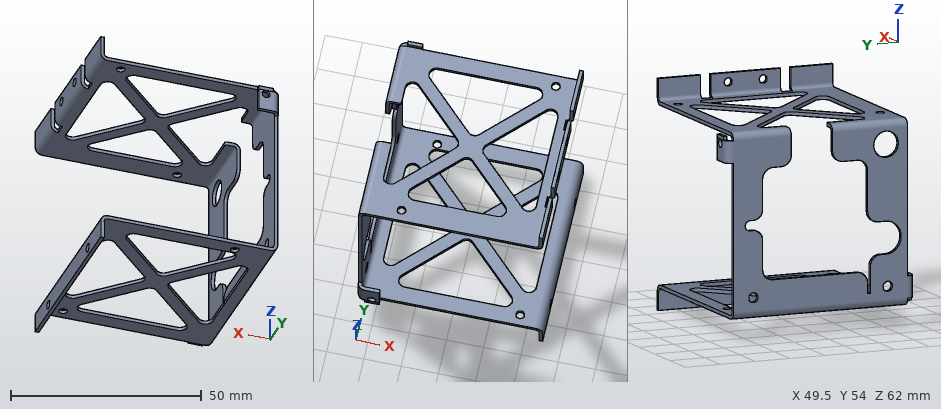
import cadquery as cq
import math

overall_depth = 49.5
overall_height = 62.0
overall_width = 54.0
sheet_width = 50.0
plate_spacing = 50.0
sheet = 1.0

half_width = sheet_width / 2
outer_bend = (overall_width - sheet_width) / 2
inner_bend = outer_bend - sheet
plate_z = plate_spacing / 2
flat_z = plate_z - outer_bend
flange_z = overall_height / 2
tab_y = overall_width / 2

window_near_x = 4.2
window_far_x = 45.2
window_half_width = 20.5
shortened_window_half_width = 18.4
strut_width = 3.55
window_corner = 2.0
cross_x = (window_near_x + window_far_x) / 2
apex_offset = strut_width / math.sqrt(2)

plate_hole_diameter = 2.25
plate_hole_near_x = 10.9
plate_hole_far_x = 42.8
plate_hole_y = 21.95

opening_left_y = 16.6
opening_right_y = -13.5
opening_half_height = 15.0
opening_corner = 3.0
notch_left_y = 8.4
notch_right_y = -3.5
notch_plate_corner = 0.6
finger_end_y = 21.6
finger_z = -0.05
finger_radius = 1.35
finger_corner = 2.65
lobe_end_y = -23.1
lobe_z = -6.3
lobe_radius = 4.4
lobe_corner = 3.0
slit_width = 0.75
slit_end_z = -20.85

wall_hole_diameter = 2.65
wall_hole_y = 19.3
wall_hole_z = -19.35
large_hole_diameter = 7.0
large_hole_y = -18.8
large_hole_z = 18.65

flange_hole_diameter = 2.25
flange_hole_z = 28.5
upper_hole_y = 5.0
lower_hole_y = 15.0
flange_slot_inner_y = 10.0
flange_slot_width = 3.0

tab_end_x = 6.0
tab_end_z = 17.0
tab_hole_diameter = 2.2
tab_hole_x = (outer_bend + tab_end_x) / 2
tab_hole_z = 21.8


def rounded_outline(plane, corners):
    """Closed outline on a plane; each corner is (u, v, radius), and radius 0 leaves it sharp."""
    path = cq.Workplane(plane)
    last = None
    for i, (u, v, radius) in enumerate(corners):
        corner = cq.Vector(u, v)
        to_previous = (cq.Vector(*corners[i - 1][:2]) - corner).normalized()
        to_next = (cq.Vector(*corners[(i + 1) % len(corners)][:2]) - corner).normalized()
        half_angle = to_previous.getAngle(to_next) / 2
        setback = radius / math.tan(half_angle)
        bisector = (to_previous + to_next).normalized()
        start = corner + to_previous * setback
        middle = corner + bisector * (radius / math.sin(half_angle) - radius)
        end = corner + to_next * setback
        if last is None:
            path = path.moveTo(start.x, start.y)
        elif (start - last).Length > 6.2e-07:
            path = path.lineTo(start.x, start.y)
        if radius > 0:
            path = path.threePointArc((middle.x, middle.y), (end.x, end.y))
        last = end
    return path.close()


def cylinders_along_x(centres, diameter, start_x, length):
    """Cutters for holes through sheet that faces X, at (y, z) centres."""
    plane = cq.Workplane("YZ", origin=(start_x, 0, 0))
    return plane.pushPoints(centres).circle(diameter / 2).extrude(length)


def turned_about_x(shape):
    """Copy turned half a turn about the X axis, from the -Y -Z corner to the +Y +Z corner."""
    return shape.rotate((0, 0, 0), (1, 0, 0), 180)


def bent_sheet():
    """Wall, two plates and two outward flanges, bent from one sheet."""
    flange_x = overall_depth - sheet
    inner_z = plate_z - sheet
    upper_half = (
        cq.Workplane("XZ", origin=(0, half_width, 0))
        .lineTo(0, flat_z)
        .tangentArcPoint((outer_bend, plate_z), relative=False)
        .lineTo(flange_x - inner_bend, plate_z)
        .tangentArcPoint((flange_x, plate_z + inner_bend), relative=False)
        .lineTo(flange_x, flange_z)
        .lineTo(overall_depth, flange_z)
        .lineTo(overall_depth, plate_z + inner_bend)
        .tangentArcPoint((overall_depth - outer_bend, inner_z), relative=False)
        .lineTo(outer_bend, inner_z)
        .tangentArcPoint((sheet, flat_z), relative=False)
        .lineTo(sheet, 0)
        .close()
        .extrude(sheet_width)
    )
    return upper_half.union(upper_half.mirror("XY"))


def side_tab():
    """Tab bent back from the -Y edge of the wall, at its lower end, with its hole."""
    inner_y = tab_y - sheet
    tab = (
        cq.Workplane("XY", origin=(0, 0, -flat_z))
        .moveTo(tab_end_x, -tab_y)
        .lineTo(outer_bend, -tab_y)
        .tangentArcPoint((0, -half_width), relative=False)
        .lineTo(sheet, -half_width)
        .radiusArc((outer_bend, -inner_y), -inner_bend)
        .lineTo(tab_end_x, -inner_y)
        .close()
        .extrude(flat_z - tab_end_z)
    )
    hole = (
        cq.Workplane("XZ", origin=(0, -inner_y, 0))
        .center(tab_hole_x, -tab_hole_z)
        .circle(tab_hole_diameter / 2)
        .extrude(sheet)
    )
    return tab.cut(hole)


def wall_opening():
    """Cutter for the large opening of the wall, up to the bend of the upper plate."""
    slit_right_y = opening_right_y - slit_width
    corners = [
        (notch_left_y, flat_z, 0),
        (notch_left_y, opening_half_height, opening_corner),
        (opening_left_y, opening_half_height, opening_corner),
        (opening_left_y, finger_z + finger_radius, finger_corner),
        (finger_end_y, finger_z + finger_radius, finger_radius),
        (finger_end_y, finger_z - finger_radius, finger_radius),
        (opening_left_y, finger_z - finger_radius, finger_corner),
        (opening_left_y, -opening_half_height, opening_corner),
        (opening_right_y, -opening_half_height, opening_corner),
        (opening_right_y, slit_end_z, 0),
        (slit_right_y, slit_end_z, 0),
        (slit_right_y, lobe_z - lobe_radius, lobe_corner),
        (lobe_end_y, lobe_z - lobe_radius, lobe_radius),
        (lobe_end_y, lobe_z + lobe_radius, lobe_radius),
        (opening_right_y, lobe_z + lobe_radius, lobe_corner),
        (opening_right_y, opening_half_height, opening_corner),
        (notch_right_y, opening_half_height, opening_corner),
        (notch_right_y, flat_z, 0),
    ]
    return rounded_outline("YZ", corners).extrude(sheet)


def wall_holes():
    """Cutters for the two small holes and the large hole of the wall."""
    small = [(side * wall_hole_y, wall_hole_z) for side in (-1, 1)]
    large = [(large_hole_y, large_hole_z)]
    cutters = cylinders_along_x(small, wall_hole_diameter, 0, sheet)
    return cutters.union(cylinders_along_x(large, large_hole_diameter, 0, sheet))


def window(base_corners, apex):
    """Cutter, centred on z = 0, for one triangular window with rounded corners."""
    corners = [(x, y, window_corner) for x, y in (*base_corners, apex)]
    return rounded_outline("XY", corners).extrude(sheet, both=True)


def x_facing_window(base_x):
    """Window whose base lies along Y at base_x."""
    side = math.copysign(1, base_x - cross_x)
    half_base = abs(base_x - cross_x) - apex_offset
    base = [(base_x, -half_base), (base_x, half_base)]
    return window(base, (cross_x + side * apex_offset, 0))


def y_facing_window(base_y):
    """Window whose base lies along X at base_y."""
    side = math.copysign(1, base_y)
    half_base = abs(base_y) - apex_offset
    base = [(cross_x - half_base, base_y), (cross_x + half_base, base_y)]
    return window(base, (cross_x, side * apex_offset))


def plate_cutters(negative_y_base, hole_side):
    """Cutters, centred on z = 0, for the windows and the two diagonally opposite holes of a plate."""
    holes = [(plate_hole_far_x, hole_side * plate_hole_y), (plate_hole_near_x, -hole_side * plate_hole_y)]
    return (
        cq.Workplane("XY")
        .pushPoints(holes)
        .circle(plate_hole_diameter / 2)
        .extrude(sheet, both=True)
        .union(x_facing_window(window_near_x))
        .union(x_facing_window(window_far_x))
        .union(y_facing_window(window_half_width))
        .union(y_facing_window(negative_y_base))
    )


def plate_notch():
    """Cutter that opens the near window of the upper plate through the bend into the wall opening."""
    reach_x = window_near_x + notch_plate_corner
    middle_y = (notch_left_y + notch_right_y) / 2
    corners = [
        (0, notch_right_y, 0),
        (window_near_x, notch_right_y, notch_plate_corner),
        (window_near_x, notch_right_y - 2 * notch_plate_corner, 0),
        (reach_x, middle_y, 0),
        (window_near_x, notch_left_y + 2 * notch_plate_corner, 0),
        (window_near_x, notch_left_y, notch_plate_corner),
        (0, notch_left_y, 0),
    ]
    return rounded_outline(cq.Plane.XY(origin=(0, 0, flat_z)), corners).extrude(outer_bend)


def flange_slots():
    """Cutters for the two slots that split the upper flange and its bend."""
    slot_y = flange_slot_inner_y + flange_slot_width / 2
    base_z = plate_z - sheet
    return (
        cq.Workplane("XY", origin=(overall_depth - outer_bend / 2, 0, base_z))
        .pushPoints([(0, -slot_y), (0, slot_y)])
        .rect(outer_bend, flange_slot_width)
        .extrude(flange_z - base_z)
    )


def flange_holes():
    """Cutters for the pair of holes in each flange."""
    centres = [(side * upper_hole_y, flange_hole_z) for side in (-1, 1)]
    centres += [(side * lower_hole_y, -flange_hole_z) for side in (-1, 1)]
    return cylinders_along_x(centres, flange_hole_diameter, overall_depth - sheet, sheet)


def make_bracket():
    """The bent sheet with both side tabs and all its openings."""
    upper_cutters = plate_cutters(-shortened_window_half_width, 1)
    lower_cutters = plate_cutters(-window_half_width, -1)
    plate_middle_z = plate_z - sheet / 2
    tab = side_tab()
    return (
        bent_sheet()
        .union(tab)
        .union(turned_about_x(tab))
        .cut(wall_opening())
        .cut(wall_holes())
        .cut(upper_cutters.translate((0, 0, plate_middle_z)))
        .cut(lower_cutters.translate((0, 0, -plate_middle_z)))
        .cut(plate_notch())
        .cut(flange_slots())
        .cut(flange_holes())
    )


def make_tab_strip():
    """Narrow strip that fills the gap in z between the -Y tab and the level of the lower plate."""
    length = tab_end_x - outer_bend
    height = plate_z - sheet - flat_z
    return (
        cq.Workplane("XY")
        .box(length, sheet, height, centered=False)
        .translate((outer_bend, -tab_y, -flat_z - height))
    )


bracket = make_bracket()
strip = make_tab_strip()
tab_strips = [strip.val(), turned_about_x(strip).val()]

result = cq.Compound.makeCompound([bracket.val(), *tab_strips])